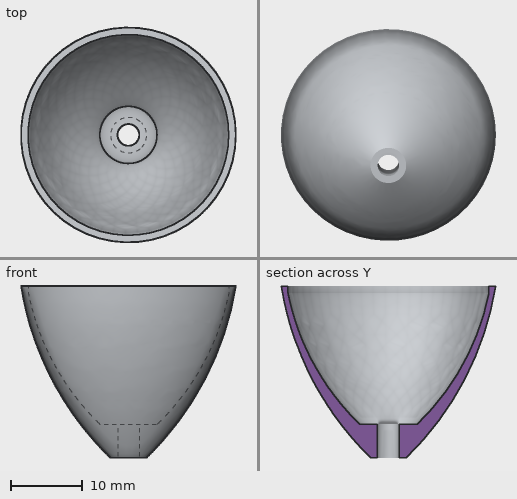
import cadquery as cq

height = 24.0
rim_radius = 15.0
tip_radius = 2.5

lip_radius = 28.0 / 2
lip_depth = 1.0
floor_height = 4.7
floor_radius = 4.0
hole_diameter = 3.0

outer_bulge = 2.2
inner_bulge = 1.6


def bulged_arc(profile, start, end, bulge):
    """Add an arc from start up to end, bowed away from the axis by bulge."""
    start_point = cq.Vector(*start)
    chord = cq.Vector(*end) - start_point
    outward = cq.Vector(chord.y, -chord.x).normalized()
    middle = start_point + chord * 0.5 + outward * bulge
    return profile.threePointArc((middle.x, middle.y), end)


def revolve_about_axis(profile):
    """Close a radius-height profile and turn it about the Z axis."""
    return profile.close().revolve(360, (0, 0), (0, 1))


def make_body():
    """Solid bullet shape, narrow end down."""
    tip_edge = (tip_radius, 0)
    profile = cq.Workplane("XZ").lineTo(*tip_edge)
    profile = bulged_arc(profile, tip_edge, (rim_radius, height), outer_bulge)
    return revolve_about_axis(profile.lineTo(0, height))


def make_cavity():
    """Bowl with a flat floor and a short straight lip at the rim."""
    floor_edge = (floor_radius, floor_height)
    lip_bottom = (lip_radius, height - lip_depth)
    profile = cq.Workplane("XZ").moveTo(0, floor_height).lineTo(*floor_edge)
    profile = bulged_arc(profile, floor_edge, lip_bottom, inner_bulge)
    return revolve_about_axis(profile.lineTo(lip_radius, height).lineTo(0, height))


def make_drain_hole():
    """Round hole along the axis, right through the floor."""
    return cq.Workplane("XY").circle(hole_diameter / 2).extrude(height)


result = make_body().cut(make_cavity()).cut(make_drain_hole())